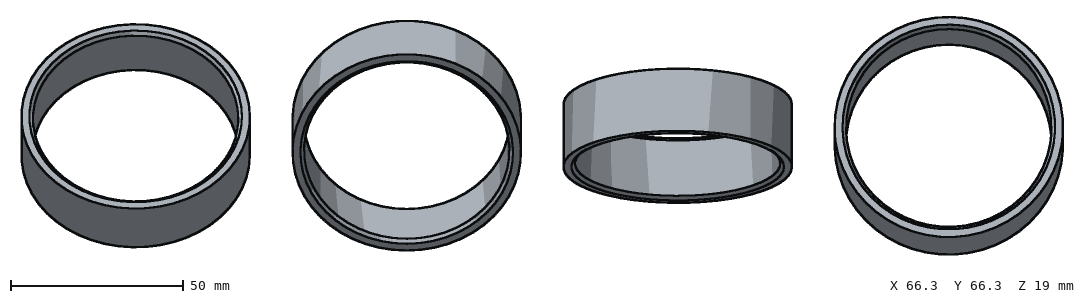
import cadquery as cq

outer_diameter = 66.3
bore_diameter = 59.55
height = 19.0
bore_chamfer = 1.05

ring = (
    cq.Workplane("XY")
    .circle(outer_diameter / 2)
    .circle(bore_diameter / 2)
    .extrude(height)
)

bore_edges = cq.selectors.RadiusNthSelector(0)
result = ring.edges("%CIRCLE").edges(bore_edges).chamfer(bore_chamfer)